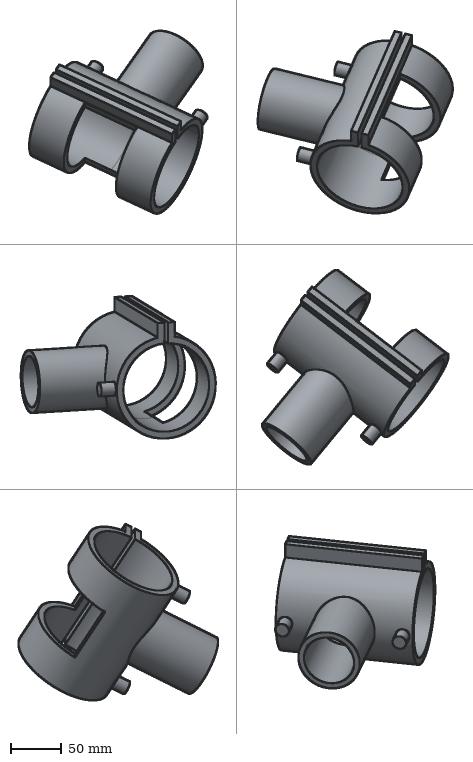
import cadquery as cq

ring_length = 140.0
ring_outer_diameter = 104.0
ring_outer_radius = ring_outer_diameter / 2
wall = 7.0
ring_inner_radius = ring_outer_radius - wall

split_gap = 4.0
total_height = 118.2
lug_top = total_height - ring_outer_radius
lug_pair_width = split_gap + 2 * wall

branch_outer_radius = 31.5
branch_bore_radius = 25.6
total_depth = 172
branch_end = total_depth - ring_outer_radius

peg_radius = 7.0
peg_end = 67
peg_spacing = 120.0

window_width = 60.0
window_back = -9.6


def cylinder_along_y(radius, end, x=0):
    """Cylinder from the ring axis out to y = end."""
    return cq.Workplane("XZ", origin=(x, 0, 0)).circle(radius).extrude(-end)


def cylinder_along_x(radius):
    """Cylinder on the ring axis, as long as the ring."""
    return cq.Workplane("YZ").circle(radius).extrude(ring_length / 2, both=True)


def upright_block(width, top):
    """Full-length block rising from the ring axis to z = top."""
    return cq.Workplane("XY").box(ring_length, width, top, centered=(True, True, False))


body = cylinder_along_x(ring_outer_radius)
body = body.union(upright_block(lug_pair_width, lug_top))
body = body.union(cylinder_along_y(branch_outer_radius, branch_end))
for side in (-1, 1):
    body = body.union(cylinder_along_y(peg_radius, peg_end, side * peg_spacing / 2))

body = body.cut(cylinder_along_x(ring_inner_radius))
body = body.cut(upright_block(split_gap, lug_top))
body = body.cut(cylinder_along_y(branch_bore_radius, branch_end))

window = (
    cq.Workplane("XY", origin=(0, window_back - ring_outer_radius, 0))
    .box(window_width, ring_outer_radius, 2 * ring_outer_radius, centered=(True, False, True))
)
result = body.cut(window)